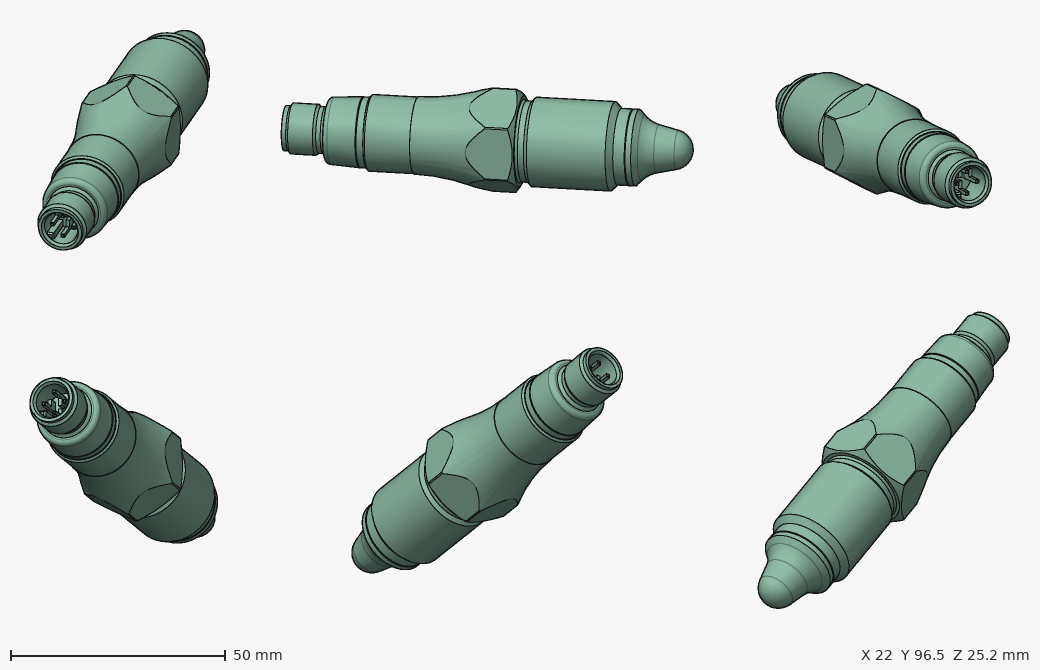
import cadquery as cq
import math

LENGTH = 96.45

PLUG_RADIUS = 12.0 / 2
PLUG_NOSE_RADIUS = 10.6 / 2
NECK_RADIUS = 11.0 / 2
PLUG_NOSE_LENGTH = 1.1
PLUG_NOSE_CHAMFER = 0.6
PLUG_END = 7.5
NECK_START = 8.2
NECK_END = 9.3

SLEEVE_START = 10.0
SLEEVE_FOOT_RADIUS = 6.2
SLEEVE_ROUND = 1.3
SLEEVE_SMALL_RADIUS = 7.9
SLEEVE_LARGE_RADIUS = 16.6 / 2
SLEEVE_TAPER_END = 17.9

GRIP_START = 19.9
GRIP_CHAMFER = 0.5
GRIP_RADIUS = 17.9 / 2
FLARE_START = 31.1
FLARE_START_RADIUS = 9.1
FLARE_ARC_RADIUS = 48.2
HEX_ACROSS_FLATS = 22.0
HEX_CORNER_RADIUS = 25.2 / 2
HEX_BEVEL_START = 54.6
HEX_END = 55.9
HEX_END_RADIUS = 10.6

GROOVE_RADIUS = 19.0 / 2
GROOVE_START = 56.6
GROOVE_END = 58.1
GROOVE_FOOT_CHAMFER = 0.3

BARREL_RADIUS = 20.9 / 2
BARREL_START = 58.9
BARREL_END = 77.5
COLLAR_RADIUS = 17.9 / 2
COLLAR_START = 79.1
COLLAR_END = 83.3

SEAM_WIDTH = 0.2
SEAM_DEPTH = 0.1
SLEEVE_SEAM = 18.0
COLLAR_SEAM = 81.8

TIP_CAP_RADIUS = 4.7
TIP_CONE_ANGLE = math.radians(13)
TIP_CONE_LENGTH = 4.6
TIP_BLEND_RADIUS = 7.2
TIP_BASE_ANGLE = math.radians(45)

BORE_RADIUS = 4.05
BORE_DEPTH = 8.2
MOUTH_RADIUS = 4.5
MOUTH_DEPTH = 0.8
KEY_OFFSET = 1.9
KEY_SETBACK = 1.1
KEY_CHAMFER = 0.4

CONTACT_THICKNESS = 0.9
CONTACT_WIDTH = 2.6
CONTACT_BASE_SETBACK = 5.8
PIN_SETBACK = 1.8
PIN_CHAMFER = 0.2
CONTACTS = [(0, 1.7, 1), (0, -1.7, -1), (-2.6, 0.9, -1), (2.6, 0.9, -1)]


def arc_through(start, end, centre, radius):
    """Point on an arc halfway between its two ends."""
    middle = [(a + b) / 2 - c for a, b, c in zip(start, end, centre)]
    scale = radius / math.hypot(*middle)
    return tuple(c + scale * m for c, m in zip(centre, middle))


def turned_body():
    """Solid of revolution about Y; profile points are (radius, y)."""
    flare_centre = (FLARE_START_RADIUS + FLARE_ARC_RADIUS, FLARE_START)
    flare_rise = flare_centre[0] - HEX_CORNER_RADIUS
    flare_end_y = FLARE_START + math.sqrt(FLARE_ARC_RADIUS**2 - flare_rise**2)
    flare_start = (FLARE_START_RADIUS, FLARE_START)
    flare_end = (HEX_CORNER_RADIUS, flare_end_y)
    flare_mid = arc_through(flare_start, flare_end, flare_centre, FLARE_ARC_RADIUS)

    sleeve_round_centre = (SLEEVE_SMALL_RADIUS - SLEEVE_ROUND, SLEEVE_START + SLEEVE_ROUND)
    sleeve_round_start = (sleeve_round_centre[0], SLEEVE_START)
    sleeve_round_end = (SLEEVE_SMALL_RADIUS, sleeve_round_centre[1])
    sleeve_round_mid = arc_through(
        sleeve_round_start, sleeve_round_end, sleeve_round_centre, SLEEVE_ROUND
    )

    cap_centre_y = LENGTH - TIP_CAP_RADIUS
    cap_start = (
        TIP_CAP_RADIUS * math.cos(TIP_CONE_ANGLE),
        cap_centre_y + TIP_CAP_RADIUS * math.sin(TIP_CONE_ANGLE),
    )
    cap_mid = arc_through(cap_start, (0, LENGTH), (0, cap_centre_y), TIP_CAP_RADIUS)
    blend_end = (
        cap_start[0] + TIP_CONE_LENGTH * math.tan(TIP_CONE_ANGLE),
        cap_start[1] - TIP_CONE_LENGTH,
    )
    blend_centre = (
        blend_end[0] + TIP_BLEND_RADIUS * math.cos(TIP_CONE_ANGLE),
        blend_end[1] + TIP_BLEND_RADIUS * math.sin(TIP_CONE_ANGLE),
    )
    blend_start = (
        blend_centre[0] - TIP_BLEND_RADIUS * math.cos(TIP_BASE_ANGLE),
        blend_centre[1] - TIP_BLEND_RADIUS * math.sin(TIP_BASE_ANGLE),
    )
    blend_mid = arc_through(blend_start, blend_end, blend_centre, TIP_BLEND_RADIUS)

    profile = (
        cq.Workplane("XY")
        .lineTo(PLUG_NOSE_RADIUS, 0)
        .lineTo(PLUG_NOSE_RADIUS, PLUG_NOSE_LENGTH)
        .lineTo(PLUG_RADIUS, PLUG_NOSE_LENGTH + PLUG_NOSE_CHAMFER)
        .lineTo(PLUG_RADIUS, PLUG_END)
        .lineTo(NECK_RADIUS, NECK_START)
        .lineTo(NECK_RADIUS, NECK_END)
        .lineTo(SLEEVE_FOOT_RADIUS, SLEEVE_START)
        .lineTo(*sleeve_round_start)
        .threePointArc(sleeve_round_mid, sleeve_round_end)
        .lineTo(SLEEVE_LARGE_RADIUS, SLEEVE_TAPER_END)
        .lineTo(SLEEVE_LARGE_RADIUS, GRIP_START)
        .lineTo(GRIP_RADIUS - GRIP_CHAMFER, GRIP_START)
        .lineTo(GRIP_RADIUS, GRIP_START + GRIP_CHAMFER)
        .lineTo(GRIP_RADIUS, FLARE_START)
        .lineTo(*flare_start)
        .threePointArc(flare_mid, flare_end)
        .lineTo(HEX_CORNER_RADIUS, HEX_BEVEL_START)
        .lineTo(HEX_END_RADIUS, HEX_END)
        .lineTo(GROOVE_RADIUS + GROOVE_FOOT_CHAMFER, HEX_END)
        .lineTo(GROOVE_RADIUS, GROOVE_START)
        .lineTo(GROOVE_RADIUS, GROOVE_END)
        .lineTo(BARREL_RADIUS, BARREL_START)
        .lineTo(BARREL_RADIUS, BARREL_END)
        .lineTo(COLLAR_RADIUS, COLLAR_START)
        .lineTo(COLLAR_RADIUS, COLLAR_END)
        .lineTo(*blend_start)
        .threePointArc(blend_mid, blend_end)
        .lineTo(*cap_start)
        .threePointArc(cap_mid, (0, LENGTH))
        .close()
    )
    return profile.revolve(360, (0, 0), (0, 1))


def along_y(start):
    """Sketch plane at Y = start facing -Y; a negative extrusion runs towards +Y."""
    return cq.Workplane("XZ", origin=(0, start, 0))


def hex_envelope():
    """Hexagonal prism with corners on +Z and -Z."""
    corner_diameter = HEX_ACROSS_FLATS / math.cos(math.radians(30))
    return (
        along_y(0)
        .transformed(rotate=(0, 0, 90))
        .polygon(6, corner_diameter)
        .extrude(-LENGTH)
    )


def seam(start, radius):
    """Ring that cuts a fine groove into a round surface."""
    return (
        along_y(start)
        .circle(radius + SEAM_DEPTH)
        .circle(radius - SEAM_DEPTH)
        .extrude(-SEAM_WIDTH)
    )


def socket():
    """Bore with a conical mouth, less the coding key that fills its -X, -Z corner."""
    bore = along_y(0).circle(BORE_RADIUS).extrude(-BORE_DEPTH)
    mouth = cq.Workplane(
        cq.Solid.makeCone(
            MOUTH_RADIUS,
            BORE_RADIUS,
            MOUTH_DEPTH,
            pnt=cq.Vector(0, 0, 0),
            dir=cq.Vector(0, 1, 0),
        )
    )
    key_side = MOUTH_RADIUS
    key_middle = -KEY_OFFSET - key_side / 2
    key = (
        along_y(KEY_SETBACK)
        .center(key_middle, key_middle)
        .rect(key_side, key_side)
        .extrude(KEY_SETBACK - BORE_DEPTH)
        .faces("<Y")
        .chamfer(KEY_CHAMFER)
    )
    return bore.union(mouth).cut(key)


def contact(x, z, pin_end):
    """L-shaped contact rooted in the socket floor."""
    base = (
        along_y(CONTACT_BASE_SETBACK)
        .center(x, z)
        .rect(CONTACT_THICKNESS, CONTACT_WIDTH)
        .extrude(CONTACT_BASE_SETBACK - BORE_DEPTH)
    )
    pin_z = z + pin_end * (CONTACT_WIDTH - CONTACT_THICKNESS) / 2
    pin = (
        along_y(PIN_SETBACK)
        .center(x, pin_z)
        .rect(CONTACT_THICKNESS, CONTACT_THICKNESS)
        .extrude(PIN_SETBACK - BORE_DEPTH)
        .faces("<Y")
        .chamfer(PIN_CHAMFER)
    )
    return base.union(pin)


result = turned_body().intersect(hex_envelope())
result = result.cut(seam(SLEEVE_SEAM, SLEEVE_LARGE_RADIUS))
result = result.cut(seam(COLLAR_SEAM, COLLAR_RADIUS))
result = result.cut(socket())
for middle_x, middle_z, pin_end in CONTACTS:
    result = result.union(contact(middle_x, middle_z, pin_end))